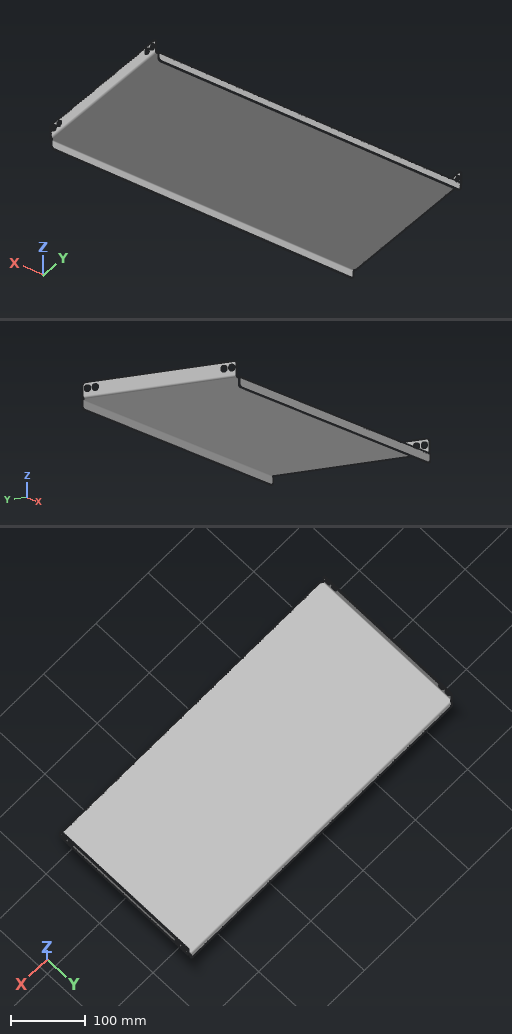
import cadquery as cq

length = 506.0
width = 246.0
height = 35.5

thickness = 1.5
inner_bend_radius = 1.5
outer_bend_radius = inner_bend_radius + thickness
lip_depth = 14.5
tray_bottom = lip_depth - thickness

end_corner_radius = 4.0
lip_corner_radius = 5.0

hole_diameter = 8.0
hole_drop = 8.5
hole_offsets = (100.0, 112.5)

tray_length = length - 2 * outer_bend_radius
tray_width = width - 2 * outer_bend_radius


def flange_section(plane, edge, bend_side, tip_height):
    """Quarter bend and straight leg, starting at the tray edge.

    bend_side is the height of the tray face on the outside of the bend;
    the leg runs from there to tip_height.
    """
    turn = 1 if tip_height > bend_side else -1
    center_height = bend_side + turn * outer_bend_radius
    diagonal = 0.5 ** 0.5
    outer_mid = outer_bend_radius * diagonal
    inner_mid = inner_bend_radius * diagonal
    return (
        cq.Workplane(plane)
        .moveTo(edge, bend_side)
        .threePointArc(
            (edge + outer_mid, center_height - turn * outer_mid),
            (edge + outer_bend_radius, center_height),
        )
        .lineTo(edge + outer_bend_radius, tip_height)
        .lineTo(edge + inner_bend_radius, tip_height)
        .lineTo(edge + inner_bend_radius, center_height)
        .threePointArc(
            (edge + inner_mid, center_height - turn * inner_mid),
            (edge, bend_side + turn * thickness),
        )
        .close()
    )


def make_end_flange():
    """Upturned flange on the +X end, with rounded corners and holes."""
    flange = (
        flange_section("XZ", tray_length / 2, tray_bottom, height)
        .extrude(tray_width / 2, both=True)
        .faces(">Z").edges("|X and (<Y or >Y)").fillet(end_corner_radius)
    )
    hole_points = [(side * y, height - hole_drop) for side in (-1, 1) for y in hole_offsets]
    holes = (
        cq.Workplane("YZ")
        .pushPoints(hole_points)
        .circle(hole_diameter / 2)
        .extrude(length)
    )
    return flange.cut(holes)


def make_lip():
    """Downturned lip along the +Y side, with rounded lower corners."""
    return (
        flange_section("YZ", tray_width / 2, lip_depth, 0)
        .extrude(tray_length / 2, both=True)
        .faces("<Z").edges("|Y and (<X or >X)").fillet(lip_corner_radius)
    )


tray = cq.Workplane("XY").box(
    tray_length, tray_width, thickness, centered=(True, True, False)
).translate((0, 0, tray_bottom))

end_flange = make_end_flange()
lip = make_lip()

result = (
    tray
    .union(end_flange)
    .union(end_flange.mirror("YZ"))
    .union(lip)
    .union(lip.mirror("XZ"))
)